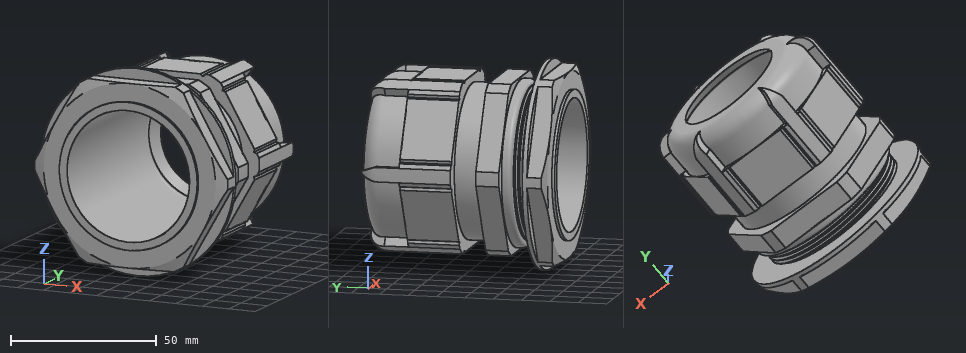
import cadquery as cq
import math


TOTAL_LENGTH = 67.7
NUT_FACE = 1.0
FLANGE_START = 7.4
FLANGE_END = 9.05
COLLAR_START = 14.6
BODY_HEX_START = 18.0
BODY_HEX_END = 26.1
CAP_START = 35.1
GRIP_END = 53.3

FLANGE_RADIUS = 36.5
NUT_FLATS = 65.0
NUT_BEVEL_LENGTH = 1.3
BODY_FLATS = 60.0
BODY_CORNER_RADIUS = 33.3
COLLAR_RADIUS = 29.2
COLLAR_FILLET = 1.7
NECK_RADIUS = 27.2
END_RADIUS = 26.05

THREAD_PITCH = 1.6
THREAD_CREST_RADIUS = 27.15
THREAD_CREST_WIDTH = 0.2
THREAD_ROOT_WIDTH = 1.45
THREAD_ROOT_EMBED = 0.1
THREAD_OVERLAP = 0.9

CAP_RADIUS = 29.85
CAP_ROUNDING = 5.85
RIB_TIP_NARROWING = 2.0
RIB_SECTOR_REACH = 51.1
GROOVE_OFFSET = 11.9
GROOVE_DEPTH = 0.8

BORE_RADIUS = 23.15
BORE_END_FILLET = 1.1
EXIT_RADIUS = 18.9

FACES = 6
STEP_ANGLE = 360.0 / FACES
CORNER_HALF_ANGLE = STEP_ANGLE / 2 - math.degrees(math.acos(BODY_FLATS / 2 / BODY_CORNER_RADIUS))


def plane_at(y):
    """Plane across the axis with local x = X, local y = Z and its normal along +Y."""
    return cq.Plane(origin=(0, y, 0), xDir=(1, 0, 0), normal=(0, 1, 0))


def across_axis(y):
    return cq.Workplane(plane_at(y))


def disc(start, end, radius):
    return across_axis(start).circle(radius).extrude(end - start)


def hexagon(start, end, flats):
    """Hexagonal prism with two flats facing +Z and -Z."""
    across_corners = flats / math.cos(math.radians(STEP_ANGLE / 2))
    return across_axis(start).polygon(FACES, across_corners).extrude(end - start)


def rounded_hexagon(start, end, flats, corner_radius):
    return hexagon(start, end, flats).intersect(disc(start, end, corner_radius))


def around_axis(shape):
    """The shape repeated once for every side of the hexagon."""
    repeated = shape
    for step in range(1, FACES):
        repeated = repeated.union(shape.rotate((0, 0, 0), (0, 1, 0), step * STEP_ANGLE))
    return repeated


def make_locknut():
    bevel_radius = NUT_FLATS / 2
    bevelled_blank = (
        cq.Workplane("XY")
        .moveTo(0, NUT_FACE)
        .lineTo(bevel_radius, NUT_FACE)
        .lineTo(FLANGE_RADIUS, NUT_FACE + NUT_BEVEL_LENGTH)
        .lineTo(FLANGE_RADIUS, FLANGE_END)
        .lineTo(0, FLANGE_END)
        .close()
        .revolve(360, (0, 0, 0), (0, 1, 0))
    )
    nut = bevelled_blank.intersect(hexagon(NUT_FACE, FLANGE_END, NUT_FLATS))
    return nut.union(disc(FLANGE_START, FLANGE_END, FLANGE_RADIUS))


def make_thread():
    """Helical ridge whose two ends are buried in the flange and in the collar."""
    start = FLANGE_END - THREAD_OVERLAP
    length = COLLAR_START + THREAD_OVERLAP - start
    root_half = THREAD_ROOT_WIDTH / 2
    crest_half = THREAD_CREST_WIDTH / 2
    buried_radius = END_RADIUS - THREAD_ROOT_EMBED
    helix = cq.Wire.makeHelix(THREAD_PITCH, length, END_RADIUS)
    ridge = (
        cq.Workplane("XZ")
        .polyline(
            [
                (buried_radius, -root_half),
                (THREAD_CREST_RADIUS, -crest_half),
                (THREAD_CREST_RADIUS, crest_half),
                (buried_radius, root_half),
            ]
        )
        .close()
        .sweep(cq.Workplane(obj=helix), isFrenet=True)
    )
    return ridge.rotate((0, 0, 0), (1, 0, 0), -90).translate((0, start, 0))


def make_body():
    collar = disc(COLLAR_START, BODY_HEX_START, COLLAR_RADIUS).faces("<Y").edges().fillet(COLLAR_FILLET)
    return (
        disc(0, COLLAR_START, END_RADIUS)
        .union(collar)
        .union(rounded_hexagon(BODY_HEX_START, BODY_HEX_END, BODY_FLATS, BODY_CORNER_RADIUS))
        .union(disc(BODY_HEX_END, CAP_START, NECK_RADIUS))
    )


def rounded_disc(radius):
    """Disc as long as the cap's crown with its far rim rounded."""
    return disc(GRIP_END, TOTAL_LENGTH, radius).faces(">Y").edges().fillet(CAP_ROUNDING)


def make_ribs():
    """Six ribs on the hexagon corners, narrowing to a point over the rounded rim."""
    taper_start = TOTAL_LENGTH - CAP_ROUNDING
    slope = math.degrees(math.atan(RIB_TIP_NARROWING / CAP_ROUNDING))
    half_width = RIB_SECTOR_REACH * math.tan(math.radians(CORNER_HALF_ANGLE))
    sector = [(0, 0), (RIB_SECTOR_REACH, -half_width), (RIB_SECTOR_REACH, half_width)]
    straight = across_axis(GRIP_END).polyline(sector).close().extrude(taper_start - GRIP_END)
    tip = across_axis(taper_start).polyline(sector).close().extrude(CAP_ROUNDING, taper=slope)
    return around_axis(straight.union(tip)).intersect(rounded_disc(BODY_CORNER_RADIUS))


def make_grip():
    """Hexagonal wrench section with two V grooves along every flat."""
    grip = rounded_hexagon(CAP_START, GRIP_END, BODY_FLATS, BODY_CORNER_RADIUS)
    flat = BODY_FLATS / 2
    half_opening = 2 * GROOVE_DEPTH
    for middle in (-GROOVE_OFFSET, GROOVE_OFFSET):
        groove = (
            across_axis(CAP_START)
            .polyline(
                [
                    (middle - half_opening, flat + GROOVE_DEPTH),
                    (middle, flat - GROOVE_DEPTH),
                    (middle + half_opening, flat + GROOVE_DEPTH),
                ]
            )
            .close()
            .extrude(GRIP_END - CAP_START)
        )
        grip = grip.cut(around_axis(groove))
    return grip


def make_opening():
    """Bore from the threaded end with a filleted bottom, then a 45 degree cone out through the cap."""
    fillet_offset = BORE_END_FILLET * math.sqrt(0.5)
    cone_radius = BORE_RADIUS - BORE_END_FILLET
    bore_end = TOTAL_LENGTH - (cone_radius - EXIT_RADIUS)
    return (
        cq.Workplane("XY")
        .lineTo(BORE_RADIUS, 0)
        .lineTo(BORE_RADIUS, bore_end - BORE_END_FILLET)
        .threePointArc(
            (cone_radius + fillet_offset, bore_end - BORE_END_FILLET + fillet_offset),
            (cone_radius, bore_end),
        )
        .lineTo(EXIT_RADIUS, TOTAL_LENGTH)
        .lineTo(0, TOTAL_LENGTH)
        .close()
        .revolve(360, (0, 0, 0), (0, 1, 0))
    )


cap = rounded_disc(CAP_RADIUS).union(make_ribs()).union(make_grip())
result = make_body().union(make_thread()).union(make_locknut()).union(cap).cut(make_opening())